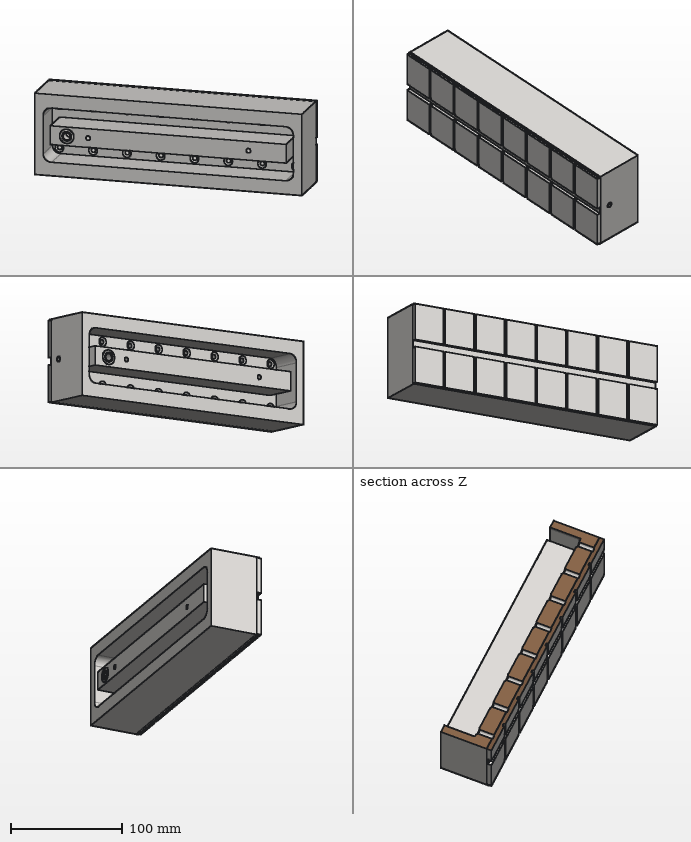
import cadquery as cq
import math

length = 250.0
height = 76.0
depth = 50.0

pad_thickness = 4.5
pad_front = depth - pad_thickness
lip_thickness = 0.8
lip_setback = 2.2
pad_height = height - 2 * lip_thickness
slot_width = 2.2
slot_depth = 1.8
groove_width = 6.8
groove_depth = 3.2

pocket_length = 234.0
pocket_height = 50.5
pocket_depth = 30.0
pocket_corner_radius = 7.5
bar_length = 220.5
bar_height = 17.5

nozzle_columns = 8
nozzle_span = 221.2
nozzle_pitch = nozzle_span / (nozzle_columns - 1)
nozzle_row_offset = 20.0
nozzle_diameter = 4.0
nozzle_mouth_diameter = 8.0
nozzle_mouth_angle = 120.0

mount_spacing = 150.0
mount_diameter = 4.0
mount_depth = 10.0

inlet_end_distance = 30.0
inlet_x = inlet_end_distance - length / 2
inlet_diameter = 6.8
inlet_depth = 10.0
drill_point_angle = 118.0
seal_diameter = 13.2
seal_wire = 2.2
seal_protrusion = 0.8
seal_inner_diameter = seal_diameter - 2 * seal_wire
seal_groove_depth = seal_wire - seal_protrusion

plug_y = 35.0
plug_diameter = 5.0
plug_length = 5.0
socket_diameter = 3.5
socket_depth = 2.5


def box_from_front(x_size, y_start, y_size, z_size):
    """Box centred on X and Z that reaches y_size back from y_start."""
    return cq.Workplane("XY").box(x_size, y_size, z_size).translate((0, y_start + y_size / 2, 0))


def front_plane(y, x=0.0):
    """Workplane at depth y that faces the back; its vertical axis points along -Z."""
    return cq.Workplane(cq.Plane(origin=(x, y, 0), xDir=(1, 0, 0), normal=(0, 1, 0)))


def cone_from_front(x, y, z, diameter, angle):
    """Cone with its base at depth y and its point further back."""
    radius = diameter / 2
    cone_height = radius / math.tan(math.radians(angle / 2))
    base_center = cq.Vector(x, y, z)
    return cq.Workplane(obj=cq.Solid.makeCone(radius, 0, cone_height, base_center, cq.Vector(0, 1, 0)))


def nozzle_points():
    """X and Z of every nozzle hole."""
    first_x = -nozzle_span / 2
    return [
        (first_x + column * nozzle_pitch, row * nozzle_row_offset)
        for column in range(nozzle_columns)
        for row in (-1, 1)
    ]


def make_pocket():
    """Rounded pocket with the supply bar left out of it."""
    pocket = box_from_front(pocket_length, 0, pocket_depth, pocket_height)
    pocket = pocket.edges("|Y").fillet(pocket_corner_radius)
    return pocket.cut(box_from_front(bar_length, 0, pocket_depth, bar_height))


def make_nozzle(x, z):
    """Nozzle hole from the pocket floor to the pad, with a conical mouth."""
    floor_thickness = pad_front - pocket_depth
    hole = front_plane(pocket_depth).center(x, -z).circle(nozzle_diameter / 2).extrude(floor_thickness)
    return hole.union(cone_from_front(x, pocket_depth, z, nozzle_mouth_diameter, nozzle_mouth_angle))


def make_inlet():
    """Blind inlet hole with a drill point, and the ring groove around it."""
    hole = front_plane(0, inlet_x).circle(inlet_diameter / 2).extrude(inlet_depth)
    hole = hole.union(cone_from_front(inlet_x, inlet_depth, 0, inlet_diameter, drill_point_angle))
    groove = front_plane(0, inlet_x).circle(seal_diameter / 2).circle(seal_inner_diameter / 2)
    return hole, groove.extrude(seal_groove_depth)


def plug_plane():
    """Workplane on the left end, facing into the housing, at the plug axis."""
    return cq.Workplane(cq.Plane(origin=(-length / 2, plug_y, 0), xDir=(0, 1, 0), normal=(1, 0, 0)))


def make_housing():
    """Block with the pad channel, the pocket and all holes."""
    body = box_from_front(length, 0, depth - lip_setback, height)
    body = body.cut(box_from_front(length, pad_front, pad_thickness, pad_height))
    body = body.cut(make_pocket())
    for x, z in nozzle_points():
        body = body.cut(make_nozzle(x, z))
    mounts = front_plane(0).rarray(mount_spacing, 2.5, 2, 1).circle(mount_diameter / 2).extrude(mount_depth)
    body = body.cut(mounts)
    for inlet_cut in make_inlet():
        body = body.cut(inlet_cut)
    return body.cut(plug_plane().circle(plug_diameter / 2).extrude(plug_length))


def make_pad():
    """Suction pad with one lengthwise groove and a slot midway between nozzle columns."""
    pad = box_from_front(length, pad_front, pad_thickness, pad_height)
    pad = pad.cut(box_from_front(length, depth - groove_depth, groove_depth, groove_width))
    slot = box_from_front(slot_width, depth - slot_depth, slot_depth, pad_height)
    slot_count = nozzle_columns - 1
    for index in range(slot_count):
        slot_x = (index - (slot_count - 1) / 2) * nozzle_pitch
        pad = pad.cut(slot.translate((slot_x, 0, 0)))
    return pad


def make_seal_ring():
    """Round ring resting on its groove floor and standing proud of the front face."""
    wire_radius = seal_wire / 2
    ring_radius = seal_diameter / 2 - wire_radius
    center = cq.Vector(inlet_x, seal_groove_depth - wire_radius, 0)
    return cq.Workplane(obj=cq.Solid.makeTorus(ring_radius, wire_radius, center, cq.Vector(0, 1, 0)))


def make_plug():
    """Flush plug with a blind round socket."""
    plug = plug_plane().circle(plug_diameter / 2).extrude(plug_length)
    socket = plug_plane().circle(socket_diameter / 2).extrude(socket_depth)
    return plug.cut(socket)


housing = make_housing()
pad = make_pad()
seal_ring = make_seal_ring()
plug = make_plug()

result = cq.Compound.makeCompound([housing.val(), pad.val(), seal_ring.val(), plug.val()])